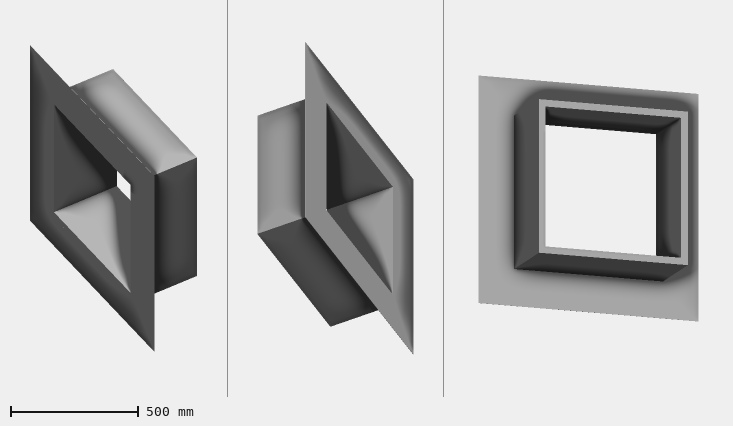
import cadquery as cq

plate_side = 915.0
plate_thickness = 1.0
sleeve_side = 618.0
sleeve_wall = 27.0
sleeve_depth = 290.0

sleeve_opening = sleeve_side - 2 * sleeve_wall


def square_frame(outer_side, inner_side, depth):
    """Square frame centred on the Y axis, running from Y = 0 towards +Y."""
    return (
        cq.Workplane("XZ")
        .rect(outer_side, outer_side)
        .rect(inner_side, inner_side)
        .extrude(-depth)
    )


flange_plate = square_frame(plate_side, sleeve_side, plate_thickness)

sleeve = square_frame(sleeve_side, sleeve_opening, sleeve_depth)

result = cq.Compound.makeCompound([flange_plate.val(), sleeve.val()])